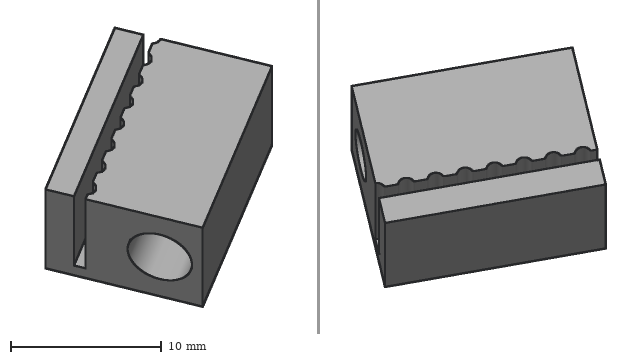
import cadquery as cq
import math

length_x = 11.0
length_y = 15.0
height = 8.0

clamp_wall = 2.0
slot_width = 0.8
slot_floor = 1.0
tooth_face_x = clamp_wall + slot_width

tooth_pitch = 2.0
first_tooth_y = tooth_pitch / 2
tooth_count = math.ceil(length_y / tooth_pitch)
tooth_radius = 0.555
tooth_depth = 0.4
lip_radius = 0.15

bore_x = 8.0
bore_z = height / 2
bore_diameter = 3.5
counterbore_diameter = 4.5
counterbore_depth = 10.0


def make_slot():
    """Plain belt slot between the clamp wall and the bored body."""
    return (
        cq.Workplane("XY")
        .box(slot_width, length_y, height - slot_floor, centered=False)
        .translate((clamp_wall, 0, slot_floor))
    )


def make_tooth_groove(center_y):
    """Upright round groove, blended into the slot face by a rounded lip on each side."""
    groove_center_x = tooth_depth - tooth_radius

    center_distance = tooth_radius + lip_radius
    lip_center_x = lip_radius
    lip_rise = lip_center_x - groove_center_x
    lip_center_y = math.sqrt(center_distance**2 - lip_rise**2)
    join_x = groove_center_x + lip_rise * tooth_radius / center_distance
    join_y = lip_center_y * tooth_radius / center_distance

    lip_turn = math.acos(lip_rise / center_distance)
    lip_mid_x = lip_center_x - lip_radius * math.cos(lip_turn / 2)
    lip_mid_y = lip_center_y - lip_radius * math.sin(lip_turn / 2)

    slot_mid_x = -slot_width / 2
    return (
        cq.Workplane("XY", origin=(tooth_face_x, center_y, slot_floor))
        .moveTo(slot_mid_x, -lip_center_y)
        .lineTo(0, -lip_center_y)
        .threePointArc((lip_mid_x, -lip_mid_y), (join_x, -join_y))
        .threePointArc((tooth_depth, 0), (join_x, join_y))
        .threePointArc((lip_mid_x, lip_mid_y), (0, lip_center_y))
        .lineTo(slot_mid_x, lip_center_y)
        .close()
        .extrude(height - slot_floor)
    )


def make_stepped_bore():
    """Through bore with a wider flat-bottomed counterbore from the low-Y end."""
    bore_plane = cq.Workplane("XZ", origin=(bore_x, 0, bore_z))
    bore = bore_plane.circle(bore_diameter / 2).extrude(-length_y)
    counterbore = bore_plane.circle(counterbore_diameter / 2).extrude(-counterbore_depth)
    return bore.union(counterbore)


block = cq.Workplane("XY").box(length_x, length_y, height, centered=False)
result = block.cut(make_slot()).cut(make_stepped_bore())
for tooth in range(tooth_count):
    result = result.cut(make_tooth_groove(first_tooth_y + tooth * tooth_pitch))